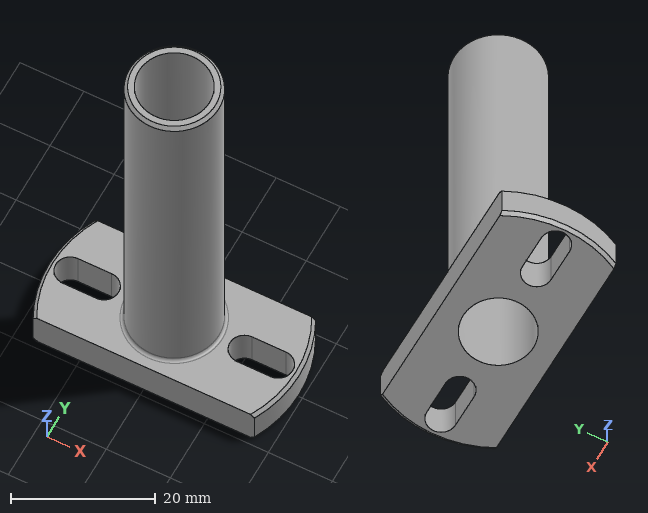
import cadquery as cq

total_height = 66.0
flange_diameter = 39.0
flange_width = 18.0
flange_thickness = 6.0
flange_chamfer = 0.5

tube_diameter = 13.9
bore_diameter = 11.0
tube_chamfer = 0.5
root_fillet = 0.5

slot_inner_end = 8.7
slot_outer_end = 18.5
slot_width = 4.5


def make_flange():
    """Disc with chamfered round edges, trimmed to width by two flats."""
    disc = cq.Workplane("XY").circle(flange_diameter / 2).extrude(flange_thickness)
    disc = disc.edges().chamfer(flange_chamfer)
    trim = cq.Workplane("XY").rect(flange_diameter, flange_width).extrude(flange_thickness)
    return disc.intersect(trim)


def make_tube():
    """Solid post with a chamfered top edge and a flared root that meets the flange."""
    radius = tube_diameter / 2
    profile = (
        cq.Workplane("XZ")
        .lineTo(radius + root_fillet, 0)
        .lineTo(radius + root_fillet, flange_thickness)
        .radiusArc((radius, flange_thickness + root_fillet), root_fillet)
        .lineTo(radius, total_height - tube_chamfer)
        .lineTo(radius - tube_chamfer, total_height)
        .lineTo(0, total_height)
        .close()
    )
    return profile.revolve(360, (0, 0, 0), (0, 1, 0))


def make_slots():
    slot_center = (slot_inner_end + slot_outer_end) / 2
    slot_length = slot_outer_end - slot_inner_end
    return (
        cq.Workplane("XY")
        .pushPoints([(-slot_center, 0), (slot_center, 0)])
        .slot2D(slot_length, slot_width)
        .extrude(flange_thickness)
    )


bore = cq.Workplane("XY").circle(bore_diameter / 2).extrude(total_height)

result = make_flange().union(make_tube()).cut(bore).cut(make_slots())